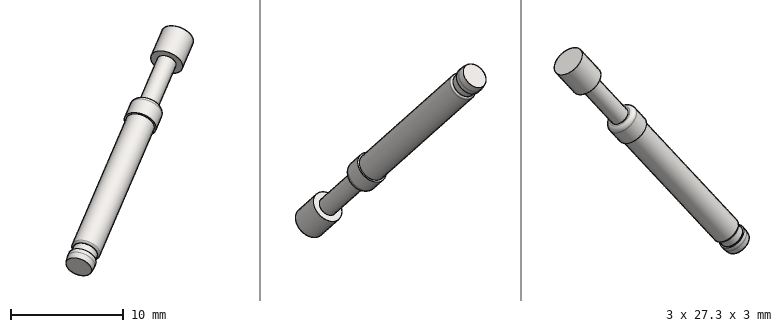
import cadquery as cq

overall_length = 27.3

head_diameter = 3.0
head_length = 3.0

stem_diameter = 1.77
stem_length = 5.27

collar_diameter = head_diameter
collar_length = 2.05
collar_fillet = 0.45

barrel_diameter = 2.65
barrel_fillet = 0.2

groove_diameter = 2.3
groove_length = 0.8

tail_diameter = 2.6
tail_length = 1.0
tail_round_length = 0.6
tail_end_diameter = 2.4

barrel_length = (
    overall_length - head_length - stem_length - collar_length - groove_length - tail_length
)


def cylinder(start, length, diameter):
    """Solid cylinder along +Y, beginning at Y = start."""
    return cq.Workplane("XZ", origin=(0, start, 0)).circle(diameter / 2).extrude(-length)


def make_tail(start):
    """Retaining ring at the tail, bulging gently inward to a flat end face."""
    ring_radius = tail_diameter / 2
    end_radius = tail_end_diameter / 2
    return (
        cq.Workplane("XY", origin=(0, start, 0))
        .lineTo(0, tail_length)
        .lineTo(ring_radius, tail_length)
        .lineTo(ring_radius, tail_round_length)
        .tangentArcPoint((end_radius, 0), relative=False)
        .close()
        .revolve(360, (0, 0, 0), (0, 1, 0))
    )


tail_start = -overall_length / 2
groove_start = tail_start + tail_length
barrel_start = groove_start + groove_length
collar_start = barrel_start + barrel_length
stem_start = collar_start + collar_length
head_start = stem_start + stem_length

tail = make_tail(tail_start)
groove = cylinder(groove_start, groove_length, groove_diameter)
barrel = cylinder(barrel_start, barrel_length, barrel_diameter).faces("<Y").edges().fillet(barrel_fillet)
collar = cylinder(collar_start, collar_length, collar_diameter).faces(">Y").edges().fillet(collar_fillet)
stem = cylinder(stem_start, stem_length, stem_diameter)
head = cylinder(head_start, head_length, head_diameter)

result = tail.union(groove).union(barrel).union(collar).union(stem).union(head)